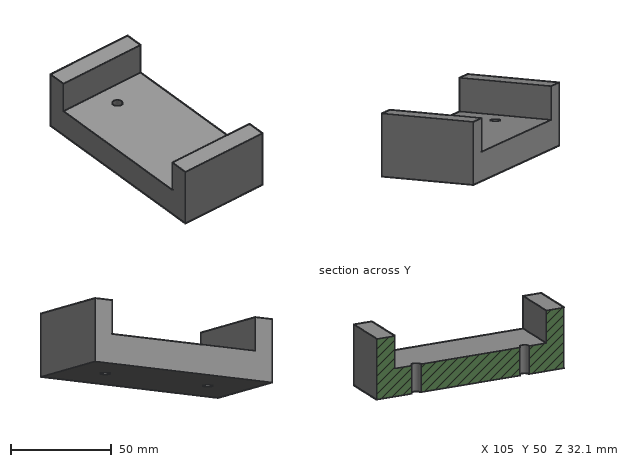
import cadquery as cq

length = 105.0
width = 50.0
height = 32.1

wall_thickness = 10.2
floor_thickness = 15.0
channel_length = length - 2 * wall_thickness
channel_depth = height - floor_thickness

hole_diameter = 5.0
hole_spacing = 60.7

block = cq.Workplane("XY").box(length, width, height, centered=(True, True, False))

channel = (
    cq.Workplane("XY")
    .workplane(offset=floor_thickness)
    .box(channel_length, width, channel_depth, centered=(True, True, False))
)

holes = (
    cq.Workplane("XY")
    .pushPoints([(-hole_spacing / 2, 0), (hole_spacing / 2, 0)])
    .circle(hole_diameter / 2)
    .extrude(floor_thickness)
)

result = block.cut(channel).cut(holes)